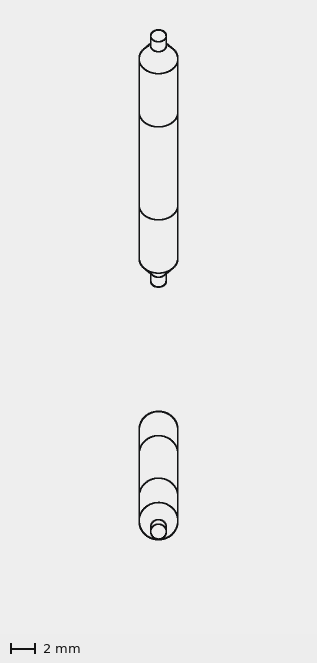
import cadquery as cq
import math

TOTAL_LENGTH = 31.5
BODY_DIAMETER = 3.15
PILOT_DIAMETER = 1.25
SHANK_LENGTH = 11.65
PILOT_LENGTH = 1.6
COUNTERSINK_ANGLE = 60.0
POINT_ANGLE = 120.0

body_radius = BODY_DIAMETER / 2
pilot_radius = PILOT_DIAMETER / 2
half_length = TOTAL_LENGTH / 2
half_shank = SHANK_LENGTH / 2
point_height = pilot_radius / math.tan(math.radians(POINT_ANGLE / 2))
countersink_height = (body_radius - pilot_radius) / math.tan(math.radians(COUNTERSINK_ANGLE / 2))


def make_shank():
    """Plain cylinder between the two cutting ends."""
    return cq.Workplane("XY").workplane(offset=-half_shank).circle(body_radius).extrude(SHANK_LENGTH)


def make_cutting_end(direction):
    """Turned end with a countersink cone, pilot and point; direction is +1 (up) or -1 (down)."""
    countersink_top = half_length - PILOT_LENGTH
    profile = [
        (0, half_shank),
        (body_radius, half_shank),
        (body_radius, countersink_top - countersink_height),
        (pilot_radius, countersink_top),
        (pilot_radius, half_length - point_height),
        (0, half_length),
    ]
    points = [(radius, direction * height) for radius, height in profile]
    return cq.Workplane("XZ").polyline(points).close().revolve(360, (0, 0), (0, 1))


shank = make_shank()
cutting_ends = [make_cutting_end(direction) for direction in (1, -1)]

result = cq.Compound.makeCompound([shank.val(), *[end.val() for end in cutting_ends]])